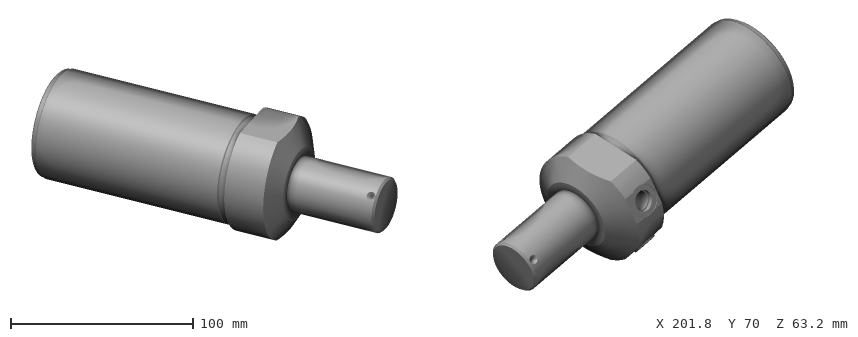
import cadquery as cq
import math

total_length = 201.8
groove_start = 114.5
head_start = 118.7
head_end = 149.0

body_radius = 31.3
groove_radius = 30.7
body_end_step_length = 3.0
barrel_chamfer = 0.6
body_end_chamfer = 1.0

head_radius = 35.0
head_offset = 2.6
head_height = 63.2
nose_radius = 21.0
nose_slope = 60.0

open_port_angle = 30.0
plugged_port_angle = -30.0
port_x = 129.0
port_flat_distance = 34.0
port_mouth_radius = 6.0
port_mouth_depth = 3.0
port_bore_radius = 5.5
port_bore_depth = 14.1
spotface_radius = 9.3
spotface_depth = 0.5
plug_radius = 7.0
plug_height = 1.0

rod_radius = 16.0
rod_chamfer = 1.2
dimple_radius = 2.6
dimple_x = 198.0
dimple_angles = (45.0, 135.0, 225.0, 315.0)


def cylinder_along_x(start, end, radius, offset_y=0.0):
    """Cylinder parallel to X between two X positions."""
    axis_start = cq.Workplane("YZ", origin=(start, offset_y, 0))
    return axis_start.circle(radius).extrude(end - start)


def radial_direction(angle):
    """Unit vector in the YZ plane, measured from +Y towards +Z."""
    radians = math.radians(angle)
    return cq.Vector(0, math.cos(radians), math.sin(radians))


def port_plane(angle):
    """Outward-facing plane of a port flat on the eccentric head."""
    normal = radial_direction(angle)
    origin = cq.Vector(port_x, head_offset, 0) + normal * port_flat_distance
    return cq.Plane(origin=origin, xDir=(1, 0, 0), normal=normal)


def make_body():
    end_step = cylinder_along_x(0, body_end_step_length, groove_radius)
    end_step = end_step.faces("<X").chamfer(body_end_chamfer)
    barrel = cylinder_along_x(body_end_step_length, groove_start, body_radius)
    barrel = barrel.edges("%CIRCLE").chamfer(barrel_chamfer)
    groove = cylinder_along_x(groove_start, head_start, groove_radius)
    return end_step.union(barrel).union(groove)


def make_nose_envelope():
    """Solid of revolution whose conical end trims the eccentric head."""
    outer_radius = head_radius + 2 * head_offset
    cone_length = (outer_radius - nose_radius) / math.tan(math.radians(nose_slope))
    profile = [
        (head_start, 0),
        (head_start, outer_radius),
        (head_end - cone_length, outer_radius),
        (head_end, nose_radius),
        (head_end, 0),
    ]
    return cq.Workplane("XY").polyline(profile).close().revolve(360, (0, 0, 0), (1, 0, 0))


def cut_port_flat(head, face):
    flat_width = 2 * head_radius
    return head.cut(cq.Workplane(face).rect(flat_width, flat_width).extrude(head_radius))


def add_open_port(head):
    face = port_plane(open_port_angle)
    head = cut_port_flat(head, face)
    port_steps = (
        (spotface_radius, spotface_depth),
        (port_mouth_radius, port_mouth_depth),
        (port_bore_radius, port_bore_depth),
    )
    for radius, depth in port_steps:
        head = head.cut(cq.Workplane(face).circle(radius).extrude(-depth))
    return head


def add_plugged_port(head):
    face = port_plane(plugged_port_angle)
    head = cut_port_flat(head, face)
    return head.union(cq.Workplane(face).circle(plug_radius).extrude(plug_height))


def make_head():
    head = cylinder_along_x(head_start, head_end, head_radius, head_offset)
    slab_width = 4 * head_radius
    slab = cq.Workplane("XY").box(2 * total_length, slab_width, head_height)
    head = head.intersect(slab).intersect(make_nose_envelope())
    return add_plugged_port(add_open_port(head))


def make_rod():
    rod = cylinder_along_x(head_end, total_length, rod_radius)
    rod = rod.faces(">X").chamfer(rod_chamfer)
    for angle in dimple_angles:
        direction = radial_direction(angle)
        mouth = cq.Vector(dimple_x, 0, 0) + direction * rod_radius
        cone = cq.Solid.makeCone(dimple_radius, 0, dimple_radius, mouth, -direction)
        rod = rod.cut(cq.Workplane(cone))
    return rod


result = make_body().union(make_head()).union(make_rod())